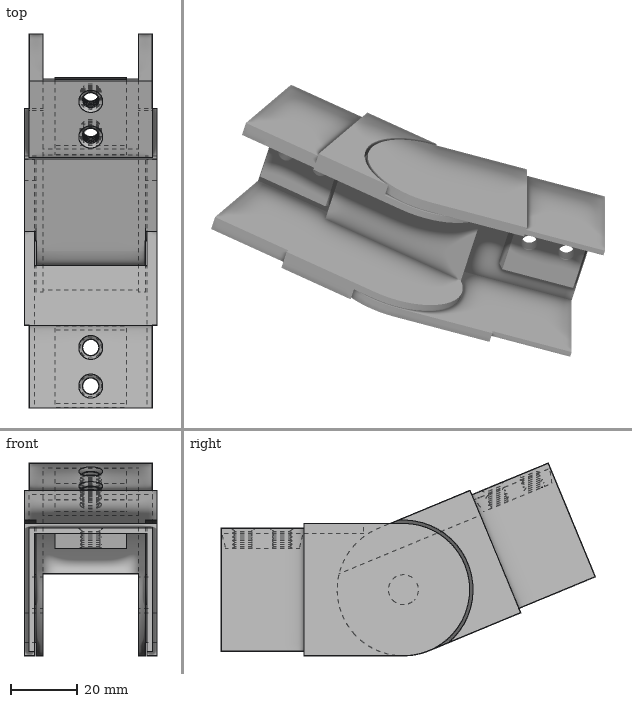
import cadquery as cq

outer = 40.0
pivot_radius = outer / 2
body_length = 30.0
tenon_outer = 37.1
tenon_length = 25.0
tenon_web = 1.7
tilt_angle = 22.5
total_length = body_length + tenon_length
tenon_roof = tenon_outer / 2 - tenon_web

fork_opening = 33.9
fork_slot_end = 12.0
tongue_width = 33.0
tongue_opening = 28.8
tongue_roof = 11.9
cheek_clearance_radius = 21.0

pin_diameter = 9.0
pin_length = 37.3

pad_width = 21.6
pad_thickness = 4.4
pad_end_gap = 0.2
pad_end_slope = 1.1
pad_length = tenon_length - 2 * pad_end_gap
hole_spacing = 11.6
hole_mouth_diameter = 7.2
thread_major_diameter = 6.4
thread_minor_diameter = 4.9
thread_pitch = 1.1
thread_depth = tenon_web + pad_thickness


def block(width, y_start, y_end, z_bottom, z_top):
    """Box centred on X, between the given Y and Z limits."""
    length = y_end - y_start
    height = z_top - z_bottom
    box = cq.Workplane("XY").box(width, length, height, centered=(True, False, False))
    return box.translate((0, y_start, z_bottom))


def pivot_cylinder(radius, width):
    """Cylinder on the pivot axis, centred on X."""
    return cq.Workplane("YZ").circle(radius).extrude(width / 2, both=True)


def solid_half():
    """Full-width half with a round pivot end and a smaller tenon, running toward +Y."""
    body = block(outer, 0, body_length, -outer / 2, outer / 2)
    tenon = block(tenon_outer, 0, total_length, -tenon_outer / 2, tenon_outer / 2)
    return body.union(pivot_cylinder(pivot_radius, outer)).union(tenon)


def threaded_hole():
    """Cutter for one tapped hole: a countersunk bore with ring grooves as thread turns."""
    minor_radius = thread_minor_diameter / 2
    major_radius = thread_major_diameter / 2
    mouth_radius = hole_mouth_diameter / 2
    top = tenon_outer / 2
    bottom = top - thread_depth
    z = top - (mouth_radius - major_radius)
    profile = [(0, top), (mouth_radius, top), (major_radius, z)]
    while z - thread_pitch > bottom:
        profile.append((minor_radius, z - thread_pitch / 2))
        profile.append((major_radius, z - thread_pitch))
        z -= thread_pitch
    profile += [(minor_radius, bottom), (0, bottom)]
    return cq.Workplane("XZ").polyline(profile).close().revolve(360, (0, 0), (0, 1))


def add_threaded_pad(half):
    """Thicken the tenon roof with a bevel-ended pad and tap two holes through it."""
    pad_end = total_length - pad_end_gap
    pad_start = pad_end - pad_length
    pad_underside = tenon_roof - pad_thickness
    profile = [
        (pad_start, tenon_roof),
        (pad_end, tenon_roof),
        (pad_end - pad_end_slope, pad_underside),
        (pad_start + pad_end_slope, pad_underside),
    ]
    pad = cq.Workplane("YZ").polyline(profile).close().extrude(pad_width / 2, both=True)
    half = half.union(pad)
    pad_middle = pad_end - pad_length / 2
    for side in (-1, 1):
        half = half.cut(threaded_hole().translate((0, pad_middle + side * hole_spacing / 2, 0)))
    return half


def fork_half():
    """Level half: thin channel with two round cheeks and a slot for the tongue."""
    half = solid_half()
    half = half.cut(block(fork_opening, -outer, total_length, -outer, tenon_roof))
    half = half.cut(block(fork_opening, -outer, fork_slot_end, -outer, outer))
    return add_threaded_pad(half).rotate((0, 0, 0), (0, 0, 1), 180)


def tongue_half():
    """Tilted half: channel with a round tongue, relieved at the sides for the cheeks."""
    half = solid_half()
    cheek_space = pivot_cylinder(cheek_clearance_radius, outer)
    cheek_space = cheek_space.cut(pivot_cylinder(cheek_clearance_radius, tongue_width))
    half = half.cut(cheek_space)
    half = half.cut(block(tongue_opening, -outer, body_length, -outer, tongue_roof))
    half = half.cut(block(tongue_opening, body_length, total_length, -outer, tenon_roof))
    return add_threaded_pad(half).rotate((0, 0, 0), (1, 0, 0), tilt_angle)


pin = pivot_cylinder(pin_diameter / 2, pin_length).cut(
    pivot_cylinder(pin_diameter / 2, tongue_opening)
)
result = fork_half().union(tongue_half()).union(pin)